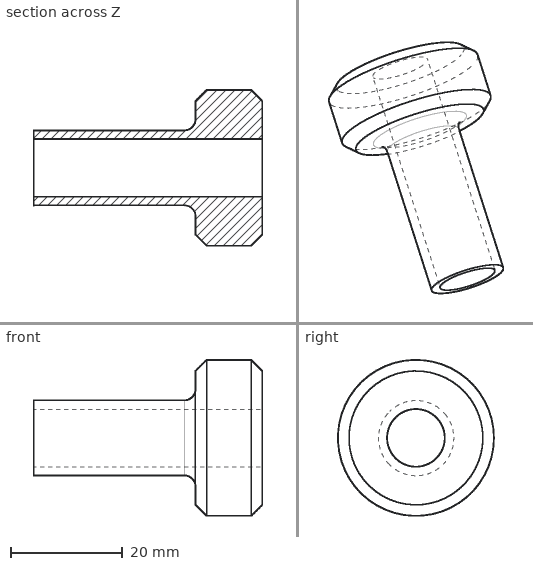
import cadquery as cq

total_length = 41.0
head_length = 12.0
head_diameter = 28.0
head_chamfer = 2.0
tube_diameter = 13.5
bore_diameter = 10.3
neck_fillet = 2.0

head_radius = head_diameter / 2
tube_radius = tube_diameter / 2
bore_radius = bore_diameter / 2
head_start = total_length - head_length
chamfer_radius = head_radius - head_chamfer


def half_section():
    """Half section of the wall, from the bore out to the outer surface."""
    return (
        cq.Workplane("XY")
        .moveTo(0, bore_radius)
        .lineTo(0, tube_radius)
        .lineTo(head_start - neck_fillet, tube_radius)
        .radiusArc((head_start, tube_radius + neck_fillet), -neck_fillet)
        .lineTo(head_start, chamfer_radius)
        .lineTo(head_start + head_chamfer, head_radius)
        .lineTo(total_length - head_chamfer, head_radius)
        .lineTo(total_length, chamfer_radius)
        .lineTo(total_length, bore_radius)
        .close()
    )


axis_start = (0, 0, 0)
axis_end = (1, 0, 0)
result = half_section().revolve(360, axis_start, axis_end)